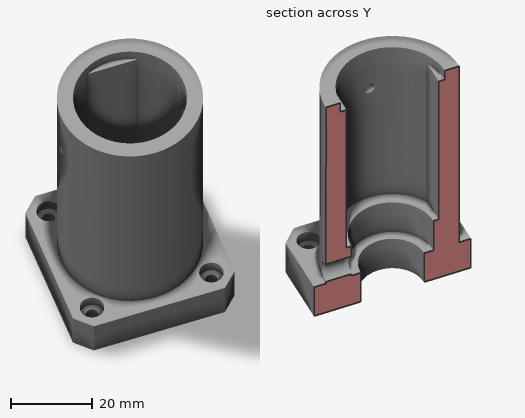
import cadquery as cq

height = 70.0
flange_width = 42.3
flange_height = 10.0
flange_chamfer = 4.0
tube_diameter = 36.0

main_bore_diameter = 28.0
flat_spacing = 24.8
flat_top_depth = 3.0
seat_diameter = 22.0
outlet_diameter = 17.0
main_bore_floor = 20.0
seat_floor = flange_height

mount_spacing = 31.2
mount_diameter = 3.2
mount_head_diameter = 6.0
mount_head_depth = 3.0

pin_diameter = 3.0
pin_height = 57.25
side_hole_diameter = 5.8
side_hole_height = 13.5


def cylinder(diameter, bottom, top):
    """Vertical cylinder on the part axis."""
    return cq.Workplane("XY").workplane(offset=bottom).circle(diameter / 2).extrude(top - bottom)


def make_body():
    flange = cq.Workplane("XY").rect(flange_width, flange_width).extrude(flange_height)
    flange = flange.edges("|Z").chamfer(flange_chamfer)
    return flange.union(cylinder(tube_diameter, 0, height))


def make_bore():
    """Round mouth, flat-sided main bore, round seat and narrower outlet."""
    flat_top = height - flat_top_depth
    mouth = cylinder(main_bore_diameter, flat_top, height)
    between_flats = (
        cq.Workplane("XY")
        .workplane(offset=main_bore_floor)
        .rect(flat_spacing, main_bore_diameter)
        .extrude(flat_top - main_bore_floor)
    )
    main_bore = cylinder(main_bore_diameter, main_bore_floor, flat_top).intersect(between_flats)
    seat = cylinder(seat_diameter, seat_floor, main_bore_floor)
    outlet = cylinder(outlet_diameter, 0, seat_floor)
    return mouth.union(main_bore).union(seat).union(outlet)


def cut_mounting_holes(body):
    return (
        body.copyWorkplane(cq.Workplane("XY", origin=(0, 0, flange_height)))
        .rect(mount_spacing, mount_spacing, forConstruction=True)
        .vertices()
        .cboreHole(mount_diameter, mount_head_diameter, mount_head_depth, flange_height)
    )


def make_pin_hole():
    """Cross hole through both tube walls along Y."""
    return (
        cq.Workplane("XZ")
        .center(0, pin_height)
        .circle(pin_diameter / 2)
        .extrude(tube_diameter / 2, both=True)
    )


def make_side_hole():
    """Hole through the -X wall only, ending on the part axis inside the bore."""
    return (
        cq.Workplane("YZ")
        .center(0, side_hole_height)
        .circle(side_hole_diameter / 2)
        .extrude(-tube_diameter / 2)
    )


body = make_body().cut(make_bore())
body = cut_mounting_holes(body)
result = body.cut(make_pin_hole()).cut(make_side_hole())